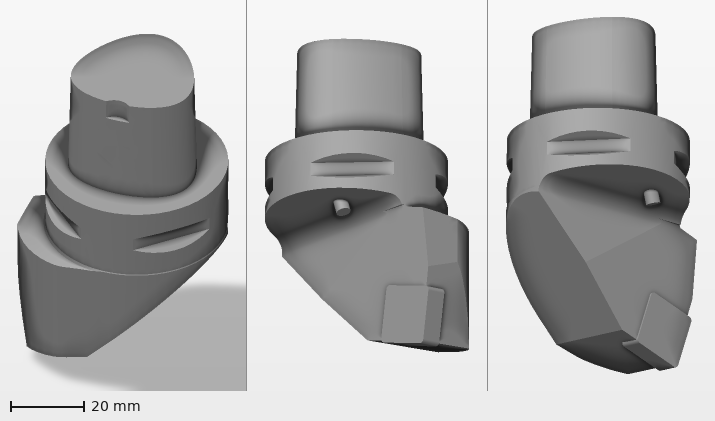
import cadquery as cq
import math


SHANK_HEIGHT = 30.0
SHANK_RADIUS = 17.55
SHANK_LOBE = 1.35
SHANK_TAPER = 1 / 40
SHANK_SIDES = 6
POINTS_PER_SIDE = 8
KEY_RADIUS = 4.5
KEY_DEPTH = 5.6
KEY_CENTER_Y = -18.4

FLANGE_RADIUS = 25.0
FLANGE_HEIGHT = 20.3
SLOT_COUNT = 4
SLOT_DEPTH = 2.8
SLOT_FLOOR_HEIGHT = 3.7
SLOT_FLARE = 1.7
SLOT_Z = -10.2

HEAD_RADIUS = 25.2
HEAD_LEFT_X = -31.3
HEAD_BOTTOM = -63.0
HEAD_ARC_START_X = 1.2
COLLAR_RADIUS = 25.5
COLLAR_Z = -21.0
SHOULDER_SLOPE = 0.29
SHOULDER_OUTER_RADIUS = 40.5

SIDE_ARC_START = (HEAD_LEFT_X, -9.0)
SIDE_ARC_MIDDLE = (-24.8, -19.1)
SIDE_ARC_END = (-15.3, -24.75)
BLEND_MIDDLE = (-13.2, -25.2)
FLAT_Y = -25.3
FLAT_START_X = -11.2
FLAT_END_X = -5.3
RUN_OUT_X = -1.8

RAKE_POINT = (9.0, 5.1, -38.7)
BACK_SLOPE_POINT = (0, 3.6, -47.5)
END_RELIEF_POINT = (-6.6, 1.8, -54.3)
SIDE_RELIEF_POINT = (HEAD_LEFT_X, 1.7, -39.3)

BACK_SLOPE_OUTWARD = (1.03, -0.08, -1)
END_RELIEF_OUTWARD = (0.26, -0.12, -1)
SIDE_RELIEF_OUTWARD = (-1, -0.09, -0.25)

FACE_Y = 5.0
ROOF_ROOT_Z = -18.0
ROOF_OUTER_Z = -16.1
ROOF_FILLET = 4.1

RAKE_SLOPE_X = 0.08
RAKE_SLOPE_Z = 0.12
RAKE_OUTWARD = (-RAKE_SLOPE_X, 1, -RAKE_SLOPE_Z)

NOZZLE_DIAMETER = 4.0
NOZZLE_TIP = (-9.0, 12.9, -20.25)
NOZZLE_LENGTH = 7.2
NOZZLE_DIRECTION = (0.3, 0.05, 1)

INSERT_SIDE = 15.8
INSERT_THICKNESS = 6.4
INSERT_CORNER_RADIUS = 1.2
INSERT_CORNER = (-27.3, 0.2, -60.3)
INSERT_ANGLE = 14.5

CUTTER_SIZE = 180.0


def shank_point(angle, radius, z):
    """Point on the three-lobed outline; angle 0 is the +Y lobe."""
    along_lobe = radius * math.cos(angle) + SHANK_LOBE * math.cos(2 * angle)
    across_lobe = radius * math.sin(angle) - SHANK_LOBE * math.sin(2 * angle)
    return cq.Vector(-across_lobe, along_lobe, z)


def shank_tangent(angle, radius):
    along_lobe = -radius * math.sin(angle) - 2 * SHANK_LOBE * math.sin(2 * angle)
    across_lobe = radius * math.cos(angle) - 2 * SHANK_LOBE * math.cos(2 * angle)
    return cq.Vector(-across_lobe, along_lobe, 0)


def shank_outline(radius, z):
    side_angle = 2 * math.pi / SHANK_SIDES
    edges = []
    for side in range(SHANK_SIDES):
        start = (side + 0.5) * side_angle
        angles = [start + side_angle * i / POINTS_PER_SIDE for i in range(POINTS_PER_SIDE + 1)]
        points = [shank_point(angle, radius, z) for angle in angles]
        tangents = [shank_tangent(angles[0], radius), shank_tangent(angles[-1], radius)]
        edges.append(cq.Edge.makeSpline(points, tangents=tangents))
    return cq.Wire.assembleEdges(edges)


def make_shank():
    top_radius = SHANK_RADIUS - SHANK_TAPER * SHANK_HEIGHT
    outlines = [shank_outline(SHANK_RADIUS, 0), shank_outline(top_radius, SHANK_HEIGHT)]
    shank = cq.Workplane(cq.Solid.makeLoft(outlines, True))
    keyway = (
        cq.Workplane("XY", origin=(0, KEY_CENTER_Y, SHANK_HEIGHT - KEY_DEPTH))
        .circle(KEY_RADIUS)
        .extrude(KEY_DEPTH)
    )
    return shank.cut(keyway)


def gripper_slot(angle):
    """Trapezoidal slot, cut straight across the rim, with its floor at right angles to a radius."""
    floor_half = SLOT_FLOOR_HEIGHT / 2
    rim_half = floor_half + SLOT_FLARE
    floor_x = FLANGE_RADIUS - SLOT_DEPTH
    return (
        cq.Workplane("XZ", origin=(0, 0, SLOT_Z))
        .polyline([
            (floor_x, -floor_half),
            (FLANGE_RADIUS, -rim_half),
            (FLANGE_RADIUS, rim_half),
            (floor_x, floor_half),
        ])
        .close()
        .extrude(FLANGE_RADIUS, both=True)
        .rotate((0, 0, 0), (0, 0, 1), angle)
    )


def make_flange():
    flange = cq.Workplane("XY").circle(FLANGE_RADIUS).extrude(-FLANGE_HEIGHT)
    for index in range(SLOT_COUNT):
        flange = flange.cut(gripper_slot((index + 0.5) * 360 / SLOT_COUNT))
    return flange


def half_space(point, outward):
    """Large block on the outward side of a plane, used to trim the head."""
    return (
        cq.Workplane(cq.Plane(origin=point, normal=outward))
        .rect(CUTTER_SIZE, CUTTER_SIZE)
        .extrude(CUTTER_SIZE)
    )


def head_blank():
    """Plan outline of the head under a conical shoulder that rises to the flange."""
    plan = (
        cq.Workplane("XY", origin=(0, 0, -FLANGE_HEIGHT))
        .moveTo(HEAD_LEFT_X, HEAD_RADIUS)
        .lineTo(*SIDE_ARC_START)
        .threePointArc(SIDE_ARC_MIDDLE, SIDE_ARC_END)
        .threePointArc(BLEND_MIDDLE, (FLAT_START_X, FLAT_Y))
        .lineTo(FLAT_END_X, FLAT_Y)
        .lineTo(RUN_OUT_X, -HEAD_RADIUS)
        .lineTo(HEAD_ARC_START_X, -math.sqrt(HEAD_RADIUS**2 - HEAD_ARC_START_X**2))
        .threePointArc((HEAD_RADIUS, 0), (0, HEAD_RADIUS))
        .close()
        .extrude(HEAD_BOTTOM + FLANGE_HEIGHT)
    )
    shoulder_drop = SHOULDER_SLOPE * (SHOULDER_OUTER_RADIUS - COLLAR_RADIUS)
    envelope = (
        cq.Workplane("XZ")
        .polyline([
            (0, -FLANGE_HEIGHT),
            (FLANGE_RADIUS, -FLANGE_HEIGHT),
            (COLLAR_RADIUS, COLLAR_Z),
            (SHOULDER_OUTER_RADIUS, COLLAR_Z - shoulder_drop),
            (SHOULDER_OUTER_RADIUS, HEAD_BOTTOM),
            (0, HEAD_BOTTOM),
        ])
        .close()
        .revolve(360, (0, 0, 0), (0, 1, 0))
    )
    return plan.intersect(envelope)


def make_head():
    rake_face = half_space(RAKE_POINT, RAKE_OUTWARD)
    back_slope = half_space(BACK_SLOPE_POINT, BACK_SLOPE_OUTWARD)
    end_relief = half_space(END_RELIEF_POINT, END_RELIEF_OUTWARD)
    side_relief = half_space(SIDE_RELIEF_POINT, SIDE_RELIEF_OUTWARD)
    head = head_blank()
    for trim in (rake_face, back_slope, end_relief, side_relief):
        head = head.cut(trim)
    return head


def chip_space():
    """Room in front of the cutting face, with a sloping roof and a rounded inner corner."""
    return (
        cq.Workplane("YZ", origin=(-CUTTER_SIZE / 2, 0, 0))
        .polyline([
            (FACE_Y, ROOF_ROOT_Z),
            (FLANGE_RADIUS, ROOF_OUTER_Z),
            (CUTTER_SIZE, ROOF_OUTER_Z),
            (CUTTER_SIZE, HEAD_BOTTOM),
            (FACE_Y, HEAD_BOTTOM),
        ])
        .close()
        .extrude(CUTTER_SIZE)
        .edges(cq.selectors.NearestToPointSelector((0, FACE_Y, ROOF_ROOT_Z)))
        .fillet(ROOF_FILLET)
    )


def make_nozzle():
    return (
        cq.Workplane(cq.Plane(origin=NOZZLE_TIP, normal=NOZZLE_DIRECTION))
        .circle(NOZZLE_DIAMETER / 2)
        .extrude(NOZZLE_LENGTH)
    )


def make_insert():
    angle = math.radians(INSERT_ANGLE)
    edge_x = math.cos(angle)
    edge_z = math.sin(angle)
    edge_y = RAKE_SLOPE_X * edge_x + RAKE_SLOPE_Z * edge_z
    rake_plane = cq.Plane(
        origin=INSERT_CORNER,
        xDir=(edge_x, edge_y, edge_z),
        normal=RAKE_OUTWARD,
    )
    return (
        cq.Workplane(rake_plane)
        .center(INSERT_SIDE / 2, -INSERT_SIDE / 2)
        .rect(INSERT_SIDE, INSERT_SIDE)
        .extrude(-INSERT_THICKNESS)
        .edges(cq.selectors.ParallelDirSelector(rake_plane.zDir))
        .fillet(INSERT_CORNER_RADIUS)
    )


def make_holder(insert):
    holder = make_flange().union(make_head()).cut(chip_space())
    holder = holder.union(make_shank()).union(make_nozzle())
    return holder.cut(insert)


insert = make_insert()
holder = make_holder(insert)
result = cq.Compound.makeCompound([*holder.solids().vals(), *insert.solids().vals()])